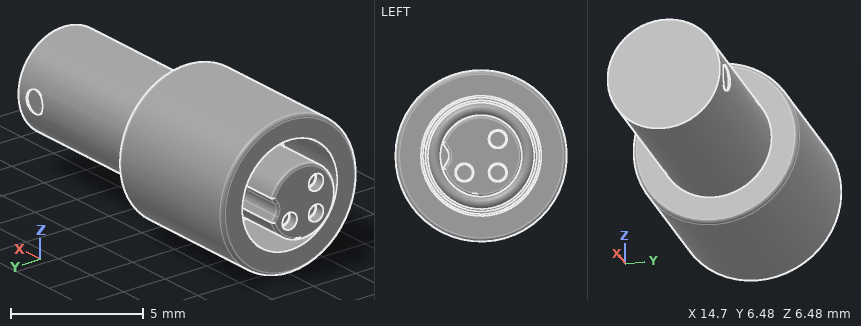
import cadquery as cq
import math

TOTAL_LENGTH = 14.67

NUT_START = 0.8
NUT_END = 7.19
NUT_RADIUS = 3.24
NUT_BORE_RADIUS = 2.27
NUT_EDGE_FILLET = 0.15
NUT_REAR_LIP = 1.17

NOSE_RADIUS = 1.54
NOSE_EDGE_FILLET = 0.1
COLLAR_RADIUS = 2.1
COLLAR_EDGE_FILLET = 0.09
COLLAR_START = 3.96
COLLAR_LENGTH = 1.17
COLLAR_END = COLLAR_START + COLLAR_LENGTH

SEAL_SECTION_RADIUS = 0.23
SEAL_CENTRE_RADIUS = NOSE_RADIUS + SEAL_SECTION_RADIUS
SEAL_CENTRE_X = COLLAR_START - SEAL_SECTION_RADIUS

KEY_FLOOR_Y = 1.22
KEY_FLOOR_RADIUS = 0.44
KEY_WALL_ANGLE = 57.0

CONTACT_OFFSET = 0.63
CONTACT_POSITIONS = [
    (-CONTACT_OFFSET, CONTACT_OFFSET),
    (-CONTACT_OFFSET, -CONTACT_OFFSET),
    (CONTACT_OFFSET, -CONTACT_OFFSET),
]
SOCKET_RADIUS = 0.35
SOCKET_DEPTH = 0.44
CONTACT_RADIUS = 0.31

BODY_RADIUS = 2.2
DIMPLE_X = 13.67
DIMPLE_RADIUS = 0.5
DIMPLE_DEPTH = 0.07


def rod(radius, start, end, y=0, z=0):
    """Cylinder along X from start to end, centred on (y, z)."""
    return cq.Workplane("YZ", origin=(start, y, z)).circle(radius).extrude(end - start)


def make_nut():
    """Round sleeve, open at the front, whose rear lip fits closely around the body."""
    nut = rod(NUT_RADIUS, NUT_START, NUT_END).edges().fillet(NUT_EDGE_FILLET)
    front_bore = rod(NUT_BORE_RADIUS, NUT_START, NUT_END - NUT_REAR_LIP)
    body_bore = rod(BODY_RADIUS, NUT_START, NUT_END)
    return nut.cut(front_bore).cut(body_bore)


def make_contact(y, z):
    """Pin that fills the insert from the bottom of its socket to the back of the collar."""
    return rod(CONTACT_RADIUS, SOCKET_DEPTH, COLLAR_END, y, z)


def key_groove():
    """V groove with a rounded floor that opens out past the nose surface."""
    wall_angle = math.radians(KEY_WALL_ANGLE)
    floor_half_width = KEY_FLOOR_RADIUS * math.cos(wall_angle)
    wall_start_y = KEY_FLOOR_Y + KEY_FLOOR_RADIUS * (1 - math.sin(wall_angle))
    mouth_half_width = floor_half_width + (NOSE_RADIUS - wall_start_y) * math.tan(wall_angle)
    return (
        cq.Workplane("YZ")
        .moveTo(NOSE_RADIUS, -mouth_half_width)
        .lineTo(wall_start_y, -floor_half_width)
        .threePointArc((KEY_FLOOR_Y, 0), (wall_start_y, floor_half_width))
        .lineTo(NOSE_RADIUS, mouth_half_width)
        .close()
        .extrude(COLLAR_START)
    )


def make_insert():
    """Nose and collar in one piece, keyed on +Y and bored for the contacts."""
    nose = rod(NOSE_RADIUS, 0, COLLAR_END).cut(key_groove())
    nose = nose.faces("<X").edges().fillet(NOSE_EDGE_FILLET)
    collar = rod(COLLAR_RADIUS, COLLAR_START, COLLAR_END).faces("<X").edges().fillet(COLLAR_EDGE_FILLET)
    insert = nose.union(collar)
    for y, z in CONTACT_POSITIONS:
        insert = insert.cut(rod(SOCKET_RADIUS, 0, SOCKET_DEPTH, y, z))
        insert = insert.cut(make_contact(y, z))
    return insert


def make_seal():
    """Ring of round section whose axis is X."""
    return (
        cq.Workplane("XY")
        .center(SEAL_CENTRE_X, SEAL_CENTRE_RADIUS)
        .circle(SEAL_SECTION_RADIUS)
        .revolve(360, (0, -SEAL_CENTRE_RADIUS), (1, -SEAL_CENTRE_RADIUS))
    )


def make_body():
    """Cylinder with a front socket for the collar and a round dimple on its +Y side."""
    body = rod(BODY_RADIUS, COLLAR_START, TOTAL_LENGTH)
    collar_socket = rod(COLLAR_RADIUS, COLLAR_START, COLLAR_END)
    dimple = (
        cq.Workplane("XZ", origin=(DIMPLE_X, BODY_RADIUS, 0))
        .circle(DIMPLE_RADIUS)
        .extrude(DIMPLE_DEPTH)
    )
    return body.cut(collar_socket).cut(dimple)


nut = make_nut()
insert = make_insert()
seal = make_seal()
body = make_body()
contacts = [make_contact(y, z) for y, z in CONTACT_POSITIONS]

result = cq.Compound.makeCompound([
    nut.val(),
    insert.val(),
    seal.val(),
    body.val(),
    *[contact.val() for contact in contacts],
])